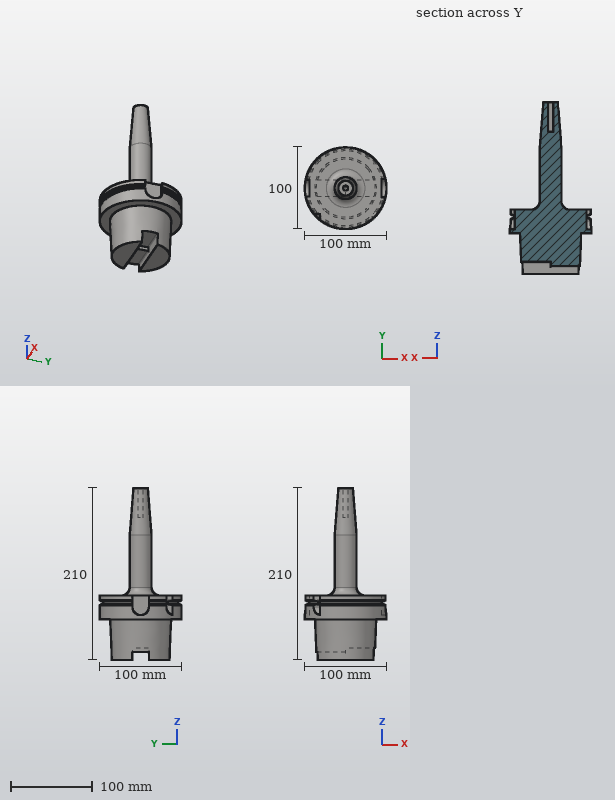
import cadquery as cq
import math

flange_height = 29.0
shank_length = 50.0
total_height = 210.0
tip_z = total_height - shank_length

flange_radius = 50.0
shank_top_radius = 37.5
shank_bottom_radius = 35.5
neck_radius = 13.5
neck_fillet = 10.0
nose_length = 57.0
tip_radius = 9.0

groove_top = 5.8
groove_bottom = 12.0
groove_slope_height = 1.4
groove_slope_angle = math.radians(30)
groove_land_radius = flange_radius - groove_slope_height / math.tan(groove_slope_angle)
groove_floor_radius = 45.8

tool_bore_diameter = 6.0
tool_bore_depth = 36.0

keyway_depth_z = 24.0
keyway_floor_x = 44.0
left_keyway_width = 20.0
right_keyway_width = 22.0

notch_inner_x = -31.3
notch_inner_y = -31.3
notch_width = 20.0

drive_slot_width = 20.0
drive_slot_corner = 1.0
left_drive_slot_height = 10.0
right_drive_slot_height = 15.0


def turned_body():
    groove_upper_z = flange_height - groove_top
    groove_lower_z = flange_height - groove_bottom
    fillet_top_z = flange_height + neck_fillet
    diagonal = neck_fillet * math.sqrt(0.5)
    fillet_center_x = neck_radius + neck_fillet
    return (
        cq.Workplane("XZ")
        .moveTo(0, -shank_length)
        .lineTo(shank_bottom_radius, -shank_length)
        .lineTo(shank_top_radius, 0)
        .lineTo(flange_radius, 0)
        .lineTo(flange_radius, groove_lower_z)
        .lineTo(groove_land_radius, groove_lower_z + groove_slope_height)
        .lineTo(groove_floor_radius, groove_lower_z + groove_slope_height)
        .lineTo(groove_floor_radius, groove_upper_z - groove_slope_height)
        .lineTo(groove_land_radius, groove_upper_z - groove_slope_height)
        .lineTo(flange_radius, groove_upper_z)
        .lineTo(flange_radius, flange_height)
        .lineTo(fillet_center_x, flange_height)
        .threePointArc(
            (fillet_center_x - diagonal, fillet_top_z - diagonal),
            (neck_radius, fillet_top_z),
        )
        .lineTo(neck_radius, tip_z - nose_length)
        .lineTo(tip_radius, tip_z)
        .lineTo(0, tip_z)
        .close()
        .revolve(360, (0, 0, 0), (0, 1, 0))
    )


def tool_bore():
    return (
        cq.Workplane("XY", origin=(0, 0, tip_z))
        .circle(tool_bore_diameter / 2)
        .extrude(-tool_bore_depth)
    )


def round_ended_slot(start_x, end_x, center_y, width):
    """Slot along X, open at the flange top, with a half-round lower end."""
    radius = width / 2
    bottom_z = flange_height - keyway_depth_z
    round_start_z = bottom_z + radius
    return (
        cq.Workplane("YZ", origin=(start_x, 0, 0))
        .moveTo(center_y - radius, flange_height)
        .lineTo(center_y - radius, round_start_z)
        .threePointArc((center_y, bottom_z), (center_y + radius, round_start_z))
        .lineTo(center_y + radius, flange_height)
        .close()
        .extrude(end_x - start_x)
    )


def drive_slot(end_x, height):
    """Slot from the axis out to end_x, open at the shank end."""
    return (
        cq.Workplane("XY", origin=(end_x / 2, 0, -shank_length))
        .box(abs(end_x), drive_slot_width, 2 * height)
        .edges("|X")
        .fillet(drive_slot_corner)
    )


def flange_cuts():
    """The two keyways and the orientation notch."""
    left_keyway = round_ended_slot(-flange_radius, -keyway_floor_x, 0, left_keyway_width)
    right_keyway = round_ended_slot(keyway_floor_x, flange_radius, 0, right_keyway_width)
    notch_center_y = notch_inner_y - notch_width / 2
    notch = round_ended_slot(-flange_radius, notch_inner_x, notch_center_y, notch_width)
    return [left_keyway, right_keyway, notch]


def shank_cuts():
    """The two drive slots, which meet on the axis at different heights."""
    return [
        drive_slot(-flange_radius, left_drive_slot_height),
        drive_slot(flange_radius, right_drive_slot_height),
    ]


result = turned_body().cut(tool_bore())
for cutter in flange_cuts() + shank_cuts():
    result = result.cut(cutter)